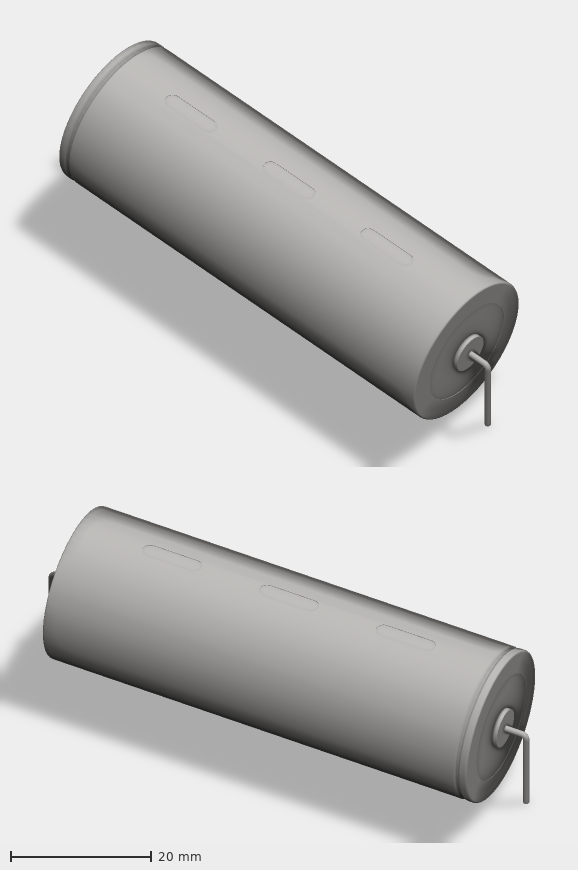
import cadquery as cq

overall_length = 75.9
overall_height = 25.0
can_diameter = 23.0
can_length = 67.0
can_radius = can_diameter / 2
can_end = can_length / 2
edge_radius = 0.3

groove_center = -31.95
groove_mouth = 1.0
groove_floor = 0.4
groove_depth = 0.2

recess_diameter = 16.1
recess_depth = 0.1
bushing_diameter = 5.8
bushing_height = 0.7

mark_length = 9.25
mark_width = 2.35
mark_pitch = 18.45
mark_depth = 0.1
mark_count = 3

wire_diameter = 0.9
wire_bend_radius = 0.75
wire_bottom = can_radius - overall_height
wire_x = (overall_length - wire_diameter) / 2


def make_can():
    can = cq.Workplane("YZ").circle(can_radius).extrude(can_end, both=True)
    return can.faces("<X or >X").edges().fillet(edge_radius)


def make_groove():
    """Ring of trapezoidal section, removed from the can wall."""
    outside_radius = can_radius + groove_depth
    floor_radius = can_radius - groove_depth
    section = [
        (groove_center - groove_mouth / 2, outside_radius),
        (groove_center - groove_mouth / 2, can_radius),
        (groove_center - groove_floor / 2, floor_radius),
        (groove_center + groove_floor / 2, floor_radius),
        (groove_center + groove_mouth / 2, can_radius),
        (groove_center + groove_mouth / 2, outside_radius),
    ]
    return cq.Workplane("XY").polyline(section).close().revolve(360, (0, 0, 0), (1, 0, 0))


def make_marks():
    """Slot-shaped columns, hollowed so that they cut to an even depth below the can wall."""
    columns = (
        cq.Workplane("XY")
        .rarray(mark_pitch, 0.75, mark_count, 1)
        .slot2D(mark_length, mark_width)
        .extrude(can_diameter)
    )
    core = cq.Workplane("YZ").circle(can_radius - mark_depth).extrude(can_end, both=True)
    return columns.cut(core)


def make_end_recess():
    """Disc removed from the +X end face."""
    floor = cq.Workplane("YZ", origin=(can_end - recess_depth, 0, 0))
    return floor.circle(recess_diameter / 2).extrude(recess_depth)


def make_terminal():
    """Bushing and downward-bent lead at the +X end."""
    base = can_end - recess_depth
    bushing = (
        cq.Workplane("YZ", origin=(base, 0, 0))
        .circle(bushing_diameter / 2)
        .extrude(recess_depth + bushing_height)
    )
    path = (
        cq.Workplane("XZ")
        .moveTo(base, 0)
        .lineTo(wire_x - wire_bend_radius, 0)
        .tangentArcPoint((wire_x, -wire_bend_radius), relative=False)
        .lineTo(wire_x, wire_bottom)
    )
    lead = cq.Workplane("YZ", origin=(base, 0, 0)).circle(wire_diameter / 2).sweep(path)
    return bushing.union(lead)


def both_ends(shape):
    return [shape, shape.mirror("YZ")]


result = make_can().cut(make_groove()).cut(make_marks())
for recess in both_ends(make_end_recess()):
    result = result.cut(recess)
for terminal in both_ends(make_terminal()):
    result = result.union(terminal)